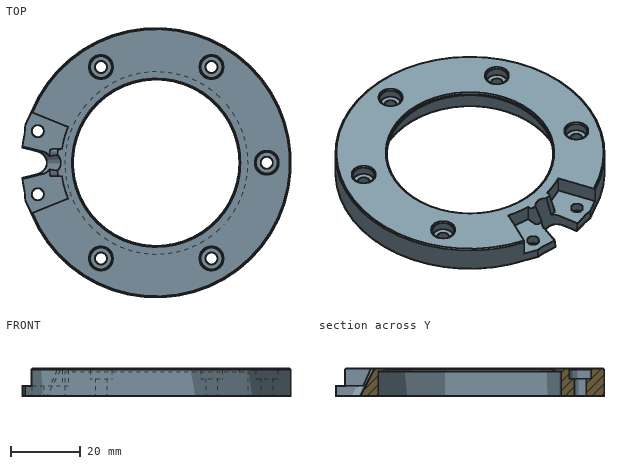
import cadquery as cq
import math


outer_radius = 39.0
bore_radius = 24.0
height = 8.0
edge_chamfer = 0.4

recess_radius = 26.4
lip_thickness = 0.9

bolt_circle_radius = 32.0
hole_diameter = 3.4
counterbore_diameter = 6.25
counterbore_depth = 3.0
counterbore_chamfer = 0.4
bolt_angles = [-120, -60, 0, 60, 120]

pocket_floor = 3.0
pocket_inner_radius = 27.5
pocket_half_angle = 22.1
pocket_reach = 46.8

tab_hole_x = -34.2
tab_hole_y = 9.1

swell_peak = (-37.9, 10.9)
swell_root_gap = 0.4
swell_bottom_angles = (12.5, 21.7)
swell_top_angles = (13.1, 21.0)

lean = 27.0
notch_radius = 3.4
notch_bottom_x = -31.7
notch_half_angle = 15.5
ridge_half_width = 4.0
ridge_top_x = -28.55
ridge_corner = 0.8
ridge_lean = 24.0
ridge_overlap = 0.6


def polar(radius, angle):
    """Point measured from the -X axis, positive angles toward +Y."""
    turn = math.radians(angle)
    return (-radius * math.cos(turn), radius * math.sin(turn))


def make_ring():
    ring = cq.Workplane("XY").circle(outer_radius).circle(bore_radius).extrude(height)
    ring = ring.faces(">Z").edges().chamfer(edge_chamfer)
    return ring.cut(cq.Workplane("XY").circle(recess_radius).extrude(height - lip_thickness))


def make_bolt_hole():
    """Through hole, counterbore and its chamfered mouth as one turned cutter."""
    hole_radius = hole_diameter / 2
    bore = counterbore_diameter / 2
    seat = height - counterbore_depth
    profile = [
        (0, 0),
        (hole_radius, 0),
        (hole_radius, seat),
        (bore, seat),
        (bore, height - counterbore_chamfer),
        (bore + counterbore_chamfer, height),
        (0, height),
    ]
    return cq.Workplane("XZ").polyline(profile).close().revolve(360, (0, 0), (0, 1))


def make_pocket():
    end_y = pocket_reach * math.sin(math.radians(pocket_half_angle))
    far_x = -pocket_reach * math.cos(math.radians(pocket_half_angle))
    return (
        cq.Workplane("XY", origin=(0, 0, pocket_floor))
        .moveTo(*polar(pocket_inner_radius, pocket_half_angle))
        .lineTo(far_x, end_y)
        .lineTo(far_x, -end_y)
        .lineTo(*polar(pocket_inner_radius, -pocket_half_angle))
        .threePointArc((-pocket_inner_radius, 0), polar(pocket_inner_radius, pocket_half_angle))
        .close()
        .extrude(height)
    )


def make_ridge():
    """Block with a leaning front, standing in front of the pocket's inner wall."""
    floor_x = ridge_top_x - (height - pocket_floor) * math.tan(math.radians(ridge_lean))
    back_x = -pocket_inner_radius + ridge_overlap
    return (
        cq.Workplane("XZ")
        .polyline([(back_x, pocket_floor), (floor_x, pocket_floor), (ridge_top_x, height), (back_x, height)])
        .close()
        .extrude(ridge_half_width, both=True)
        .faces("<X")
        .edges("not |Y")
        .fillet(ridge_corner)
    )


def make_notch():
    """Teardrop, open toward -X, swept straight along the leaning axis."""
    lean_angle = math.radians(lean)
    opening = math.radians(notch_half_angle)
    mouth = 15.6
    sweep_margin = 7.8
    axis_x = notch_bottom_x - notch_radius / math.cos(lean_angle)
    tangent_x = notch_radius * math.sin(opening)
    tangent_y = notch_radius * math.cos(opening)
    mouth_y = tangent_y + (mouth + tangent_x) * math.tan(opening)
    plane = cq.Plane(
        origin=(axis_x, 0, 0),
        xDir=(math.cos(lean_angle), 0, -math.sin(lean_angle)),
        normal=(math.sin(lean_angle), 0, math.cos(lean_angle)),
    )
    return (
        cq.Workplane(plane)
        .moveTo(-mouth, mouth_y)
        .lineTo(tangent_x, tangent_y)
        .threePointArc((notch_radius, 0), (tangent_x, -tangent_y))
        .lineTo(-mouth, -mouth_y)
        .close()
        .extrude(height + sweep_margin, both=True)
    )


def make_swell():
    """Tapering point on the +Y tab, wider at its foot than at the pocket floor."""

    def outline(angles):
        start = polar(outer_radius, angles[0])
        end = polar(outer_radius, angles[1])
        return [start, swell_peak, end, (tab_hole_x - hole_diameter / 2 - swell_root_gap, swell_peak[1])]

    return (
        cq.Workplane("XY")
        .polyline(outline(swell_bottom_angles))
        .close()
        .workplane(offset=pocket_floor)
        .polyline(outline(swell_top_angles))
        .close()
        .loft(ruled=True)
    )


result = make_ring().cut(make_pocket()).union(make_ridge())

swell = make_swell()
result = result.union(swell).union(swell.mirror("XZ"))
result = result.cut(make_notch())

bolt_hole = make_bolt_hole().translate((bolt_circle_radius, 0, 0))
for angle in bolt_angles:
    result = result.cut(bolt_hole.rotate((0, 0, 0), (0, 0, 1), angle))

tab_holes = (
    cq.Workplane("XY")
    .pushPoints([(tab_hole_x, tab_hole_y), (tab_hole_x, -tab_hole_y)])
    .circle(hole_diameter / 2)
    .extrude(pocket_floor)
)
result = result.cut(tab_holes)